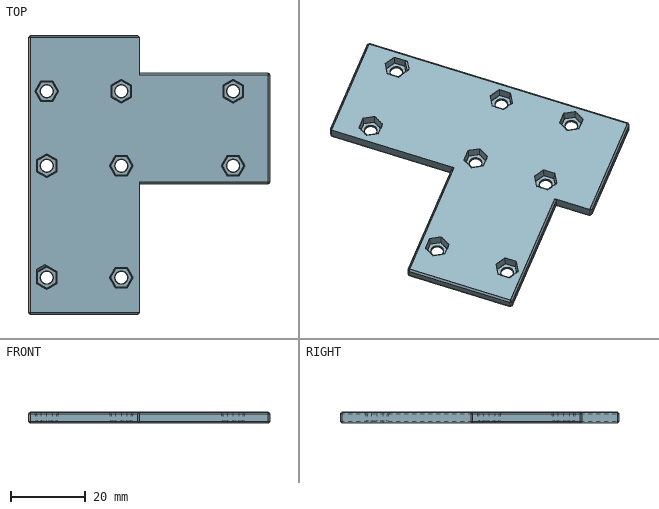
import cadquery as cq
import math


cell = 5.0
fit_gap = 0.2
thickness = 3.0
leg_width = 6 * cell - fit_gap
leg_length = 15 * cell - fit_gap
arm_reach = 13 * cell - fit_gap
arm_width = 6 * cell - fit_gap
arm_bottom = 7 * cell
bevel = 0.5

hole_diameter = 3.4
nut_rim_width = 5.5
nut_floor_width = 5.0
nut_depth = 2.4
corners_per_flats = 2 / math.sqrt(3)
rim_bevel = 0.5

edge_column = cell - fit_gap / 2
leg_column = edge_column + 4 * cell
arm_column = edge_column + 10 * cell
bottom_row = 2 * cell - fit_gap / 2
middle_row = bottom_row + 6 * cell
top_row = bottom_row + 10 * cell

CORNER_TO_X = 0.0
CORNER_TO_Y = 30.0
beveled_pocket = (edge_column, bottom_row, CORNER_TO_Y)
screw_places = [
    beveled_pocket,
    (leg_column, bottom_row, CORNER_TO_X),
    (edge_column, middle_row, CORNER_TO_Y),
    (leg_column, middle_row, CORNER_TO_X),
    (arm_column, middle_row, CORNER_TO_X),
    (edge_column, top_row, CORNER_TO_X),
    (leg_column, top_row, CORNER_TO_Y),
    (arm_column, top_row, CORNER_TO_Y),
]


def make_leg():
    """Upright bar, beveled except along the top and bottom edges on the arm side."""
    bar = cq.Workplane("XY").box(leg_width, leg_length, thickness, centered=False)
    return bar.edges("|Z or |X or (|Y and <X)").chamfer(bevel)


def make_arm():
    """Side bar standing against the leg, beveled on every edge away from the leg."""
    bar = cq.Workplane("XY").box(arm_reach - leg_width, arm_width, thickness, centered=False)
    return bar.edges("|X or >X").chamfer(bevel).translate((leg_width, arm_bottom, 0))


def make_screw_cutter(x, y, turn):
    """Through hole with a hexagonal nut pocket that narrows toward its floor."""
    hole = cq.Workplane("XY").circle(hole_diameter / 2).extrude(thickness)
    pocket = (
        cq.Workplane("XY", origin=(0, 0, thickness - nut_depth))
        .polygon(6, nut_floor_width * corners_per_flats)
        .workplane(offset=nut_depth)
        .polygon(6, nut_rim_width * corners_per_flats)
        .loft(ruled=True)
    )
    return hole.union(pocket).rotate((0, 0, 0), (0, 0, 1), turn).translate((x, y, 0))


def bevel_pocket_rim(plate):
    """Bevel the upper left rim edge of the beveled pocket."""
    x, y, turn = beveled_pocket
    edge_direction = math.radians(turn + 90)
    edge_distance = nut_rim_width / 2
    edge_middle = (
        x + edge_distance * math.cos(edge_direction),
        y + edge_distance * math.sin(edge_direction),
        thickness,
    )
    return plate.edges(cq.selectors.NearestToPointSelector(edge_middle)).chamfer(rim_bevel)


plate = make_leg().union(make_arm())
for place in screw_places:
    plate = plate.cut(make_screw_cutter(*place))

result = bevel_pocket_rim(plate)